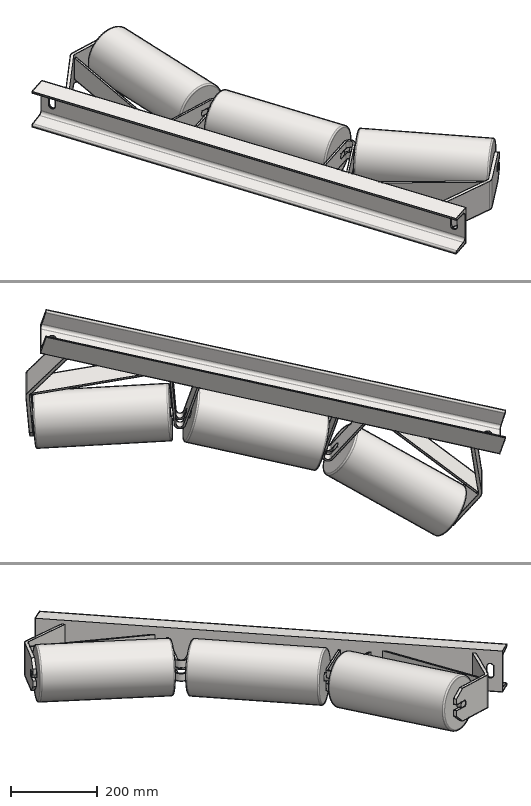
import cadquery as cq
import math


beam_length = 1100.0
beam_depth = 50.0
beam_height = 100.0
web_thickness = 5.0
flange_mid_thickness = 8.5
flange_slope = 0.08
root_radius = 8.5
toe_radius = 4.5

slot_inset = 29.0
slot_width = 16.0
slot_height = 35.0

roller_length = 315.0
roller_diameter = 133.0
roller_edge_radius = 3.8
shaft_diameter = 20.0
shaft_flat_width = 14.0
middle_roller_y = 168.0
side_roller_x = 350.0
side_roller_y = 230.0
trough_angle = 20.0

inner_width = 51.0
inner_thickness = 5.0
inner_gap = 7.0
inner_bend_radius = 11.0

outer_width = 80.0
outer_thickness = 8.0
outer_gap = 4.0
outer_tip_rise = 31.0
knee_y = 186.0
knee_inside_radius = 10.0
outer_foot_x = 484.0
tip_chamfer_length = 26.0
tip_chamfer_width = 19.0

brace_width = 60.0
brace_thickness = 5.0
brace_top_y = 192.0
brace_foot_x = 273.0

web_face_y = beam_depth
shaft_radius = shaft_diameter / 2
inner_leg_offset = roller_length / 2 + inner_gap + inner_thickness / 2
outer_leg_offset = roller_length / 2 + outer_gap + outer_thickness / 2
shaft_length = 2 * inner_leg_offset + inner_thickness
tilt = math.radians(trough_angle)
roller_places = [
    (-side_roller_x, side_roller_y, -trough_angle),
    (0, middle_roller_y, 0),
    (side_roller_x, side_roller_y, trough_angle),
]


def side_leg_x(offset, y):
    """X at height y of the plane square to the left roller axis, offset outward from its middle."""
    axial_drop = (y - side_roller_y) * math.tan(tilt)
    return -side_roller_x - offset / math.cos(tilt) + axial_drop


def placed(body, place):
    """Move a body built along X at the origin to one roller position."""
    x, y, angle = place
    return body.rotate((0, 0, 0), (0, 0, 1), angle).translate((x, y, 0))


def plate(outline, width):
    """Extrude an XY outline to a width centred on Z = 0."""
    return outline.extrude(width / 2, both=True)


def cylinder(radius, length):
    """Cylinder along X, centred at the origin."""
    start = cq.Plane(origin=(-length / 2, 0, 0), xDir=(0, 0, 1), normal=(1, 0, 0))
    return cq.Workplane(start).circle(radius).extrude(length)


def make_beam():
    """Channel with tapered flanges and a slot near each end of its web."""
    half_height = beam_height / 2
    taper = flange_slope * beam_depth / 2
    root_z = half_height - flange_mid_thickness - taper
    toe_z = half_height - flange_mid_thickness + taper
    inner_web_y = beam_depth - web_thickness
    beam = (
        cq.Workplane("YZ")
        .polyline([
            (beam_depth, -half_height),
            (beam_depth, half_height),
            (0, half_height),
            (0, toe_z),
            (inner_web_y, root_z),
            (inner_web_y, -root_z),
            (0, -toe_z),
            (0, -half_height),
        ])
        .close()
        .extrude(beam_length / 2, both=True)
    )
    for side in (-1, 1):
        beam = beam.edges(cq.NearestToPointSelector((0, inner_web_y, side * root_z))).fillet(root_radius)
        beam = beam.edges(cq.NearestToPointSelector((0, 0, side * toe_z))).fillet(toe_radius)
    slot_x = beam_length / 2 - slot_inset
    slots = (
        cq.Workplane("XZ")
        .pushPoints([(-slot_x, 0), (slot_x, 0)])
        .slot2D(slot_height, slot_width, 90)
        .extrude(-beam_depth)
    )
    return beam.cut(slots)


def make_inner_bracket():
    """Left inner bracket: an upright leg, a bend and a leg square to the left roller axis."""
    center_x = -inner_leg_offset - inner_bend_radius
    lean_x_rise = center_x - inner_bend_radius / math.cos(tilt) - side_leg_x(-inner_leg_offset, 0)
    center_y = lean_x_rise / math.tan(tilt)

    def on_bend(radius, angle):
        return (center_x + radius * math.cos(angle), center_y + radius * math.sin(angle))

    lean_angle = math.pi - tilt
    half = inner_thickness / 2
    outside = inner_bend_radius + half
    inside = inner_bend_radius - half
    outline = (
        cq.Workplane("XY")
        .moveTo(-inner_leg_offset + half, web_face_y)
        .lineTo(*on_bend(outside, 0))
        .threePointArc(on_bend(outside, lean_angle / 2), on_bend(outside, lean_angle))
        .lineTo(side_leg_x(half - inner_leg_offset, web_face_y), web_face_y)
        .lineTo(side_leg_x(-half - inner_leg_offset, web_face_y), web_face_y)
        .lineTo(*on_bend(inside, lean_angle))
        .threePointArc(on_bend(inside, lean_angle / 2), on_bend(inside, 0))
        .lineTo(-inner_leg_offset - half, web_face_y)
        .close()
    )
    return plate(outline, inner_width)


def make_outer_bracket():
    """Left outer bracket: a leg square to the left roller axis, a knee and a leg down to the beam."""
    knee_x = side_leg_x(outer_leg_offset, knee_y)
    foot_lean = math.atan2(-outer_foot_x - knee_x, knee_y - web_face_y)
    half_bend = (tilt + foot_lean) / 2
    miter_angle = (foot_lean - tilt) / 2
    half = outer_thickness / 2
    tip_x = -side_roller_x - outer_leg_offset * math.cos(tilt) + outer_tip_rise * math.sin(tilt)
    tip_y = side_roller_y + outer_leg_offset * math.sin(tilt) + outer_tip_rise * math.cos(tilt)

    def face_points(offset):
        """Tip, knee and foot of the face at an offset outward from the middle of the strip."""
        miter = offset / math.cos(half_bend)
        return [
            (tip_x - offset * math.cos(tilt), tip_y + offset * math.sin(tilt)),
            (knee_x - miter * math.cos(miter_angle), knee_y - miter * math.sin(miter_angle)),
            (-outer_foot_x - offset / math.cos(foot_lean), web_face_y),
        ]

    outer_face = face_points(half)
    inner_face = face_points(-half)
    bracket = plate(cq.Workplane("XY").polyline(outer_face + inner_face[::-1]).close(), outer_width)
    outside_radius = knee_inside_radius + outer_thickness
    for face, radius in ((outer_face, outside_radius), (inner_face, knee_inside_radius)):
        bracket = bracket.edges(cq.NearestToPointSelector((*face[1], 0))).fillet(radius)
    return bracket.cut(make_tip_corners())


def make_tip_corners():
    """Wedges that taper the tip of the left outer bracket."""
    half_width = outer_width / 2
    corners = cq.Workplane("YZ").workplane(offset=-outer_leg_offset - outer_thickness)
    for side in (-1, 1):
        corners = (
            corners
            .moveTo(outer_tip_rise, side * (half_width - tip_chamfer_width))
            .lineTo(outer_tip_rise, side * half_width)
            .lineTo(outer_tip_rise - tip_chamfer_length, side * half_width)
            .close()
        )
    return placed(corners.extrude(2 * outer_thickness), roller_places[0])


def make_brace():
    """Left brace: a flat strip from the knee of the outer bracket to the beam."""
    top_x = side_leg_x(outer_leg_offset, brace_top_y)
    slope = math.atan2(brace_top_y - web_face_y, -brace_foot_x - top_x)
    half_x = brace_thickness / 2 * math.sin(slope)
    half_y = brace_thickness / 2 * math.cos(slope)
    half_foot = brace_thickness / 2 / math.sin(slope)
    outline = cq.Workplane("XY").polyline([
        (top_x - half_x, brace_top_y - half_y),
        (top_x + half_x, brace_top_y + half_y),
        (-brace_foot_x + half_foot, web_face_y),
        (-brace_foot_x - half_foot, web_face_y),
    ]).close()
    return plate(outline, brace_width)


def make_shaft_seat(place):
    """Open slot for one shaft: it runs up from the axis and out past the bracket tops."""
    length = 2 * (inner_leg_offset + inner_bend_radius)
    slot_top = inner_leg_offset
    round_bottom = cylinder(shaft_radius, length)
    opening = cq.Workplane("XY").box(length, slot_top, shaft_diameter).translate((0, slot_top / 2, 0))
    between_flats = cq.Workplane("XY").box(length, 2 * slot_top, shaft_flat_width)
    return placed(round_bottom.union(opening).intersect(between_flats), place)


def make_frame():
    """Beam, brackets and braces welded into one body."""
    frame = make_beam()
    for strip in (make_inner_bracket(), make_outer_bracket(), make_brace()):
        frame = frame.union(strip).union(strip.mirror("YZ"))
    for place in roller_places:
        frame = frame.cut(make_shaft_seat(place))
    return frame


def make_roller(place):
    """Roller with rounded rims and a bore for its shaft."""
    roller = cylinder(roller_diameter / 2, roller_length).edges("%CIRCLE").fillet(roller_edge_radius)
    return placed(roller.cut(cylinder(shaft_radius, roller_length)), place)


def make_shaft(place):
    """Round shaft with two flats at each end, where it sits in the brackets."""
    shaft = cylinder(shaft_radius, shaft_length)
    flat_depth = (shaft_diameter - shaft_flat_width) / 2
    for end in (-1, 1):
        for side in (-1, 1):
            flat = cq.Workplane("XY").box(2 * inner_thickness, shaft_diameter, flat_depth)
            flat_z = side * (shaft_flat_width + flat_depth) / 2
            shaft = shaft.cut(flat.translate((end * shaft_length / 2, 0, flat_z)))
    return placed(shaft, place)


frame = make_frame()
rollers = [make_roller(place) for place in roller_places]
shafts = [make_shaft(place) for place in roller_places]

result = cq.Compound.makeCompound([
    frame.solids().val(),
    *[roller.solids().val() for roller in rollers],
    *[shaft.solids().val() for shaft in shafts],
])